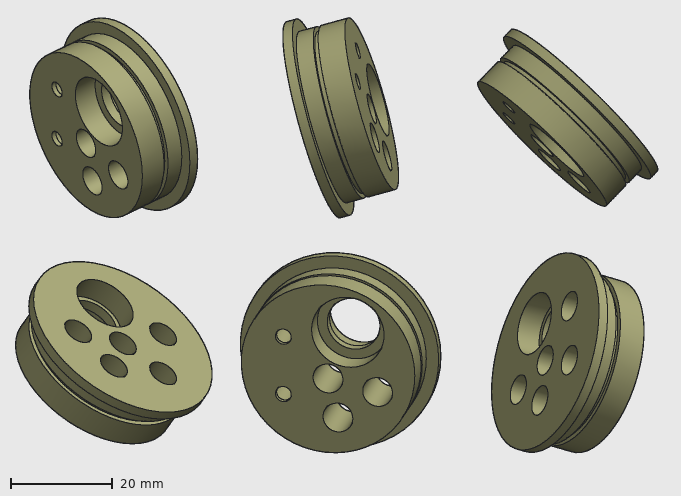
import cadquery as cq

total_depth = 12.0
flange_diameter = 40.0
flange_thickness = 2.0
body_diameter = 35.0

groove_diameter = 33.0
groove_width = 1.0
groove_center = total_depth / 2

port_position = (4.0, 8.0)
port_diameter = 10.6
port_front_diameter = 14.6
port_front_depth = 5.0
port_rear_diameter = 12.6
port_lip_thickness = 2.0

passage_diameter = 6.0
passage_positions = [(0.0, -2.0), (10.0, -4.0), (2.0, -10.0)]

pin_hole_diameter = 3.15
pin_hole_rear_diameter = 6.0
pin_hole_wall = 1.0
pin_hole_x = -9.0
pin_hole_z = 6.0
pin_hole_positions = [(pin_hole_x, pin_hole_z), (pin_hole_x, -pin_hole_z)]


def cylinders(positions, diameter, start, length):
    """Cylinders along +Y at (X, Z) positions, starting at a depth behind the front face."""
    plane = cq.Workplane("XZ", origin=(0, start, 0))
    return plane.pushPoints(positions).circle(diameter / 2).extrude(-length)


def make_body():
    axis = [(0, 0)]
    flange_start = total_depth - flange_thickness
    groove_start = groove_center - groove_width / 2
    groove_end = groove_center + groove_width / 2
    front = cylinders(axis, body_diameter, 0, groove_start)
    neck = cylinders(axis, groove_diameter, groove_start, groove_width)
    rear = cylinders(axis, body_diameter, groove_end, flange_start - groove_end)
    flange = cylinders(axis, flange_diameter, flange_start, flange_thickness)
    return front.union(neck).union(rear).union(flange)


def stepped_port():
    """Bore widened from both ends, leaving a lip in between."""
    rear_start = port_front_depth + port_lip_thickness
    bore = cylinders([port_position], port_diameter, 0, total_depth)
    front = cylinders([port_position], port_front_diameter, 0, port_front_depth)
    rear = cylinders([port_position], port_rear_diameter, rear_start, total_depth - rear_start)
    return bore.union(front).union(rear)


def pin_holes():
    """Small front openings leading into wider bores open at the rear."""
    openings = cylinders(pin_hole_positions, pin_hole_diameter, 0, total_depth)
    rear_depth = total_depth - pin_hole_wall
    rear = cylinders(pin_hole_positions, pin_hole_rear_diameter, pin_hole_wall, rear_depth)
    return openings.union(rear)


passages = cylinders(passage_positions, passage_diameter, 0, total_depth)
result = make_body().cut(stepped_port()).cut(passages).cut(pin_holes())